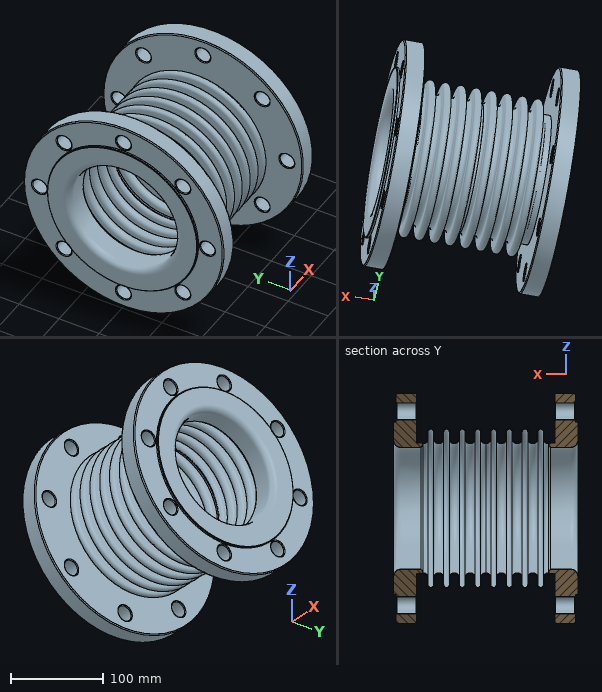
import cadquery as cq
import math

total_length = 200.0
flange_diameter = 250.0
flange_thickness = 22.5
flange_chamfer = 1.2
raised_face_diameter = 188.0
raised_face_height = 2.8
raised_face_chamfer = 0.8

bore_diameter = 131.8
inlet_radius = 8.2

bolt_count = 8
bolt_circle_diameter = 210.0
bolt_hole_diameter = 18.0
bolt_hole_chamfer = 1.0

neck_diameter = 142.5
neck_mouth_diameter = 136.5
wall = 1.2
crest_diameter = 174.0
pitch = 17.0
convolutions_per_half = 4

bend_radius = pitch / 4
neck_end = -convolutions_per_half * pitch
end_face = -total_length / 2
flange_front = end_face + raised_face_height
flange_back = flange_front + flange_thickness


def cylinder(diameter, start, end):
    """A cylinder along X between two stations."""
    return cq.Workplane("YZ", origin=(start, 0, 0)).circle(diameter / 2).extrude(end - start)


def quarter_point(center_x, center_r, radius, side_x, side_r):
    """The point halfway along a quarter circle, on the chosen sides of its centre."""
    reach = radius * math.sqrt(0.5)
    return center_x + side_x * reach, center_r + side_r * reach


def corrugated_solid(inset):
    """Half of the bellows as a solid of revolution, its surface set in by the given distance."""
    trough_radius = bend_radius + inset
    crest_radius = bend_radius - inset
    trough_center = neck_diameter / 2 + bend_radius
    crest_center = crest_diameter / 2 - bend_radius
    trough_bottom = trough_center - trough_radius
    crest_top = crest_center + crest_radius

    outline = (
        cq.Workplane("XY")
        .moveTo(neck_end, 0)
        .lineTo(neck_end, trough_bottom)
        .threePointArc(
            quarter_point(neck_end, trough_center, trough_radius, 1, -1),
            (neck_end + trough_radius, trough_center),
        )
    )
    for index in range(convolutions_per_half):
        crest_x = neck_end + (index + 0.5) * pitch
        trough_x = crest_x + pitch / 2
        outline = (
            outline.lineTo(crest_x - crest_radius, crest_center)
            .threePointArc(
                quarter_point(crest_x, crest_center, crest_radius, -1, 1),
                (crest_x, crest_top),
            )
            .threePointArc(
                quarter_point(crest_x, crest_center, crest_radius, 1, 1),
                (crest_x + crest_radius, crest_center),
            )
            .lineTo(trough_x - trough_radius, trough_center)
        )
        if index < convolutions_per_half - 1:
            outline = outline.threePointArc(
                (trough_x, trough_bottom),
                (trough_x + trough_radius, trough_center),
            )
    outline = outline.threePointArc(
        quarter_point(0, trough_center, trough_radius, -1, -1),
        (0, trough_bottom),
    )
    return outline.lineTo(0, 0).close().revolve(360, (0, 0, 0), (1, 0, 0))


def flange():
    """Flange disc with a raised face, a rounded inlet and a ring of bolt holes."""
    disc = cylinder(flange_diameter, flange_front, flange_back).edges().chamfer(flange_chamfer)
    raised_face = cylinder(raised_face_diameter, end_face, flange_front)
    raised_face = raised_face.faces("<X").edges().chamfer(raised_face_chamfer)
    drilled_disc = (
        disc.faces("<X")
        .workplane(origin=(0, 0, 0))
        .polarArray(bolt_circle_diameter / 2, 0, 360, bolt_count)
        .hole(bolt_hole_diameter)
    )
    hole_rims = cq.selectors.RadiusNthSelector(0)
    drilled_disc = drilled_disc.edges(hole_rims).chamfer(bolt_hole_chamfer)
    bore = cylinder(bore_diameter, end_face, flange_back)
    body = drilled_disc.union(raised_face).cut(bore)
    inlet_edge = cq.selectors.RadiusNthSelector(0)
    return body.faces("<X").edges(inlet_edge).fillet(inlet_radius)


def neck():
    """Tube from the flange to the first convolution, its bore chamfered at the bellows end."""
    bore = cylinder(bore_diameter, flange_back, neck_end)
    tube = cylinder(neck_diameter, flange_back, neck_end).cut(bore)
    mouth_chamfer = (neck_mouth_diameter - bore_diameter) / 2
    mouth_edge = cq.selectors.RadiusNthSelector(0)
    return tube.faces(">X").edges(mouth_edge).chamfer(mouth_chamfer)


def joint_half():
    """One flange with its half of the bellows, ending at the mid-plane."""
    bellows = corrugated_solid(0).cut(corrugated_solid(wall))
    return flange().union(neck()).union(bellows, clean=False)


left_half = joint_half()
right_half = left_half.mirror("YZ")

result = cq.Compound.makeCompound([left_half.val(), right_half.val()])